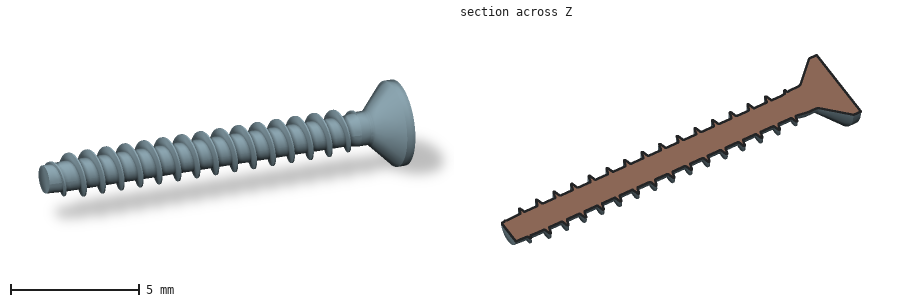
import cadquery as cq
import math

length = 15.0

head_radius = 1.702
rim_thickness = 0.35
neck_radius = 0.68
neck_fillet = 0.18
selection_margin = 0.02
neck_end_depth = 1.83
cone_end_depth = rim_thickness + head_radius - neck_radius

core_radius = 0.6
core_start_depth = 2.25
tip_taper_length = 0.9
tip_radius = 0.55

pitch = 2.4 / 3
thread_radius = 0.9
profile_height = 0.36
crest_half_width = 0.03
root_half_width = 0.128
first_crest_depth = 1.82
start_turn = -0.25
full_start_turn = 1.0
full_end_turn = 15.0
end_turn = 16.5
start_crest_radius = 0.712
end_crest_radius = tip_radius
points_per_turn = 16


def make_body():
    """Head, neck and core, revolved about Y."""
    body = (
        cq.Workplane("XY")
        .moveTo(0, 0)
        .lineTo(head_radius, 0)
        .lineTo(head_radius, -rim_thickness)
        .lineTo(neck_radius, -cone_end_depth)
        .lineTo(neck_radius, -neck_end_depth)
        .lineTo(core_radius, -core_start_depth)
        .lineTo(core_radius, -(length - tip_taper_length))
        .lineTo(tip_radius, -length)
        .lineTo(0, -length)
        .close()
        .revolve(360, (0, 0, 0), (0, 1, 0))
    )
    neck_corner = cq.selectors.BoxSelector(
        (-head_radius, -cone_end_depth - selection_margin, -head_radius),
        (head_radius, -cone_end_depth + selection_margin, head_radius),
        boundingbox=False,
    )
    return body.edges("%CIRCLE").edges(neck_corner).fillet(neck_fillet)


def helix_point(turn, radius, axial_offset):
    angle = 2 * math.pi * turn
    depth = first_crest_depth + pitch * turn + axial_offset
    return cq.Vector(-radius * math.sin(angle), -depth, radius * math.cos(angle))


def helix_edge(turns, crest_radii, drop, axial_offset):
    """Curve of one profile corner; the crest radius changes evenly along it."""
    count = round((turns[1] - turns[0]) * points_per_turn)
    points = []
    for i in range(count + 1):
        share = i / count
        turn = turns[0] + share * (turns[1] - turns[0])
        crest = crest_radii[0] + share * (crest_radii[1] - crest_radii[0])
        points.append(helix_point(turn, crest - drop, axial_offset))
    return cq.Edge.makeSpline(points)


def make_thread_section(turns, crest_radii):
    """Solid stretch of thread between two turns."""
    corners = [
        (profile_height, -root_half_width),
        (0, -crest_half_width),
        (0, crest_half_width),
        (profile_height, root_half_width),
    ]
    edges = [helix_edge(turns, crest_radii, drop, offset) for drop, offset in corners]
    faces = [cq.Face.makeRuledSurface(edges[i - 1], edges[i]) for i in range(len(edges))]
    for turn, crest in zip(turns, crest_radii):
        outline = [helix_point(turn, crest - drop, offset) for drop, offset in corners]
        faces.append(cq.Face.makeFromWires(cq.Wire.makePolygon(outline, close=True)))
    section = cq.Solid.makeSolid(cq.Shell.makeShell(faces))
    return cq.Workplane(section.fix())


def make_thread_zone():
    """Cylinder from the end of the neck to the tip, which trims the thread ends."""
    return (
        cq.Workplane("XZ", origin=(0, -neck_end_depth, 0))
        .circle(head_radius)
        .extrude(length - neck_end_depth)
    )


thread_sections = [
    ((start_turn, full_start_turn), (start_crest_radius, thread_radius)),
    ((full_start_turn, full_end_turn), (thread_radius, thread_radius)),
    ((full_end_turn, end_turn), (thread_radius, end_crest_radius)),
]

result = make_body()
thread_zone = make_thread_zone()
for turns, crest_radii in thread_sections:
    result = result.union(make_thread_section(turns, crest_radii).intersect(thread_zone))